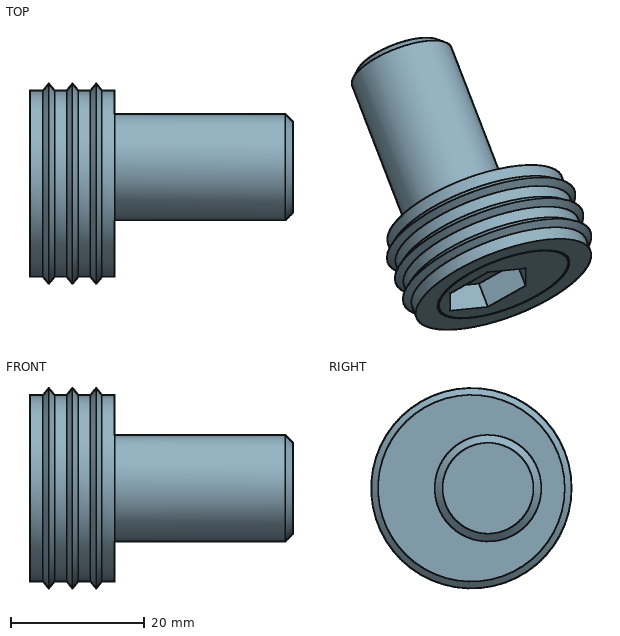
import cadquery as cq
import math

total_length = 39.5
head_length = 12.7
head_diameter = 28.0
offset = 2.5

ridge_diameter = 30.1
ridge_width = 1.75
ridge_pitch = 3.55
ridge_count = 3
first_ridge_x = 2.85

shank_diameter = 16.0
tip_chamfer = 1.2

groove_outer_diameter = 21.0
groove_inner_diameter = 20.6
groove_depth = 0.4
socket_across_flats = 12.0
socket_depth = 4.0


def make_head():
    """Turned head with evenly spaced V-shaped ridges."""
    radius = head_diameter / 2
    profile = cq.Workplane("XY").lineTo(0, radius)
    for index in range(ridge_count):
        crest_x = first_ridge_x + index * ridge_pitch
        profile = (
            profile.lineTo(crest_x - ridge_width / 2, radius)
            .lineTo(crest_x, ridge_diameter / 2)
            .lineTo(crest_x + ridge_width / 2, radius)
        )
    profile = profile.lineTo(head_length, radius).lineTo(head_length, 0).close()
    return profile.revolve(360, (0, 0, 0), (1, 0, 0))


def make_shank():
    """Eccentric cylinder starting at the back of the head, chamfered at its tip."""
    return (
        cq.Workplane("YZ", origin=(head_length, offset, 0))
        .circle(shank_diameter / 2)
        .extrude(total_length - head_length)
        .faces(">X")
        .chamfer(tip_chamfer)
    )


def make_groove():
    """Ring concentric with the head."""
    return (
        cq.Workplane("YZ")
        .circle(groove_outer_diameter / 2)
        .circle(groove_inner_diameter / 2)
        .extrude(groove_depth)
    )


def make_socket():
    """Hexagon on the shank axis with corners at top and bottom."""
    across_corners = socket_across_flats / math.cos(math.radians(30))
    return (
        cq.Workplane("YZ", origin=(0, offset, 0))
        .transformed(rotate=(0, 0, 90))
        .polygon(6, across_corners)
        .extrude(socket_depth)
    )


result = make_head().union(make_shank()).cut(make_groove()).cut(make_socket())